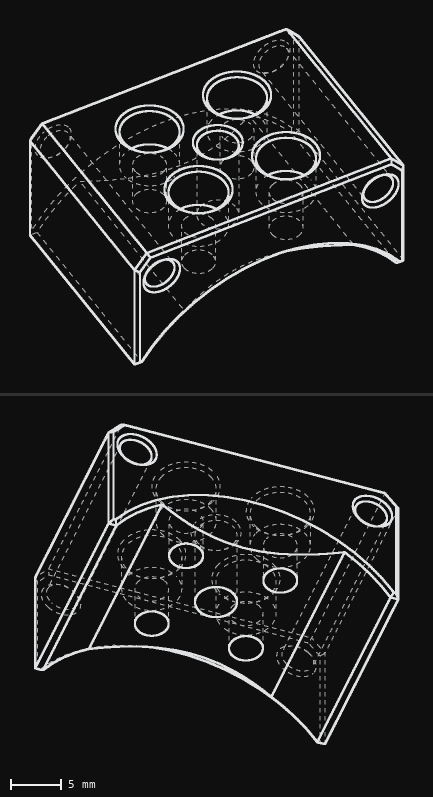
import cadquery as cq

width = 22.18
length = 30.8
height = 14.75
bevel_run = 1.42
bevel_drop = 1.7
edge_chamfer = 0.4

saddle_radius = 17.68
saddle_axis_z = -10.0
saddle_roof_z = 4.77

cross_hole_diameter = 3.4
cross_hole_spacing = 25.0
cross_hole_z = 11.27

pattern_x = 0.22
screw_spacing = 10.0
screw_diameter = 3.4
counterbore_diameter = 6.0
counterbore_depth = 5.0
center_hole_diameter = 4.2


def make_block():
    """Prism with two bevelled top edges and chamfered end faces."""
    half = length / 2
    outline = [
        (-half, 0),
        (half, 0),
        (half, height - bevel_drop),
        (half - bevel_run, height),
        (-half + bevel_run, height),
        (-half, height - bevel_drop),
    ]
    prism = cq.Workplane("YZ").polyline(outline).close().extrude(width / 2, both=True)
    return prism.faces("<X or >X").chamfer(edge_chamfer)


def make_saddle():
    """Cylinder cut off by the flat roof, flared by a 45 degree cone at each end."""
    axis_plane = cq.Workplane("YZ", origin=(0, 0, saddle_axis_z))
    cylinder = axis_plane.circle(saddle_radius).extrude(width / 2, both=True)
    below_roof = cq.Workplane("XY", origin=(0, 0, saddle_roof_z)).rect(2 * width, 2 * length)
    saddle = cylinder.intersect(below_roof.extrude(-2 * length))

    mouth_radius = saddle_radius + edge_chamfer
    inner_radius = (saddle_roof_z - saddle_axis_z) / 2
    depth = mouth_radius - inner_radius
    for side in (-1, 1):
        flare = cq.Solid.makeCone(
            mouth_radius,
            inner_radius,
            depth,
            cq.Vector(side * width / 2, 0, saddle_axis_z),
            cq.Vector(-side, 0, 0),
        )
        saddle = saddle.union(cq.Workplane(flare))
    return saddle


def rim_chamfer(diameter, position, direction):
    """Cone that breaks a hole rim by the common chamfer at 45 degrees."""
    radius = diameter / 2
    return cq.Solid.makeCone(
        radius + edge_chamfer, radius, edge_chamfer, cq.Vector(*position), cq.Vector(*direction)
    )


def drill(body, diameter, depth, position, direction):
    """Round hole with a chamfered rim at its entry."""
    bore = cq.Solid.makeCylinder(diameter / 2, depth, cq.Vector(*position), cq.Vector(*direction))
    return body.cut(cq.Workplane(bore)).cut(cq.Workplane(rim_chamfer(diameter, position, direction)))


result = make_block().cut(make_saddle())

for side in (-1, 1):
    hole_y = side * cross_hole_spacing / 2
    result = drill(result, cross_hole_diameter, width, (-width / 2, hole_y, cross_hole_z), (1, 0, 0))
    far_rim = rim_chamfer(cross_hole_diameter, (width / 2, hole_y, cross_hole_z), (-1, 0, 0))
    result = result.cut(cq.Workplane(far_rim))

down = (0, 0, -1)
screw_holes = cq.Workplane("XY").center(pattern_x, 0).rect(screw_spacing, screw_spacing, forConstruction=True)
screw_holes = screw_holes.vertices().circle(screw_diameter / 2).extrude(height)
result = result.cut(screw_holes)
for x_side in (-1, 1):
    for y_side in (-1, 1):
        entry = (pattern_x + x_side * screw_spacing / 2, y_side * screw_spacing / 2, height)
        result = drill(result, counterbore_diameter, counterbore_depth, entry, down)

result = drill(result, center_hole_diameter, height, (pattern_x, 0, height), down)